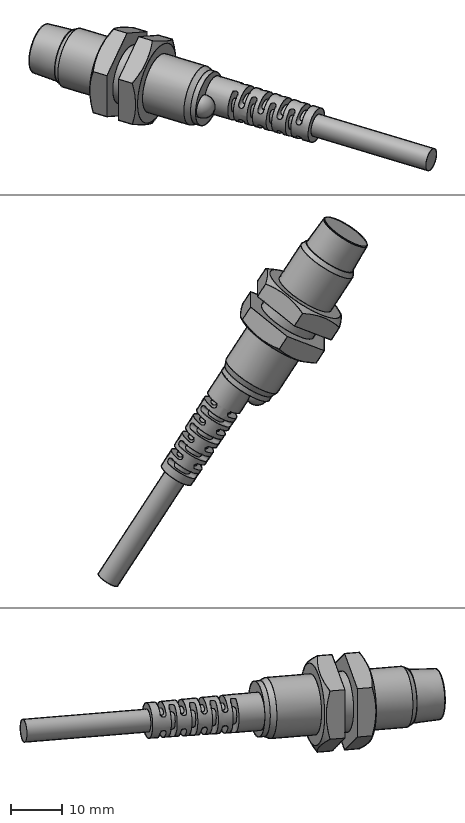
import cadquery as cq
import math

total_length = 85.3

nose_front_diameter = 10.1
nose_back_diameter = 10.7
nose_length = 6.0
nose_chamfer = 0.2

barrel_diameter = 12.0
neck_diameter = 11.0
front_chamfer_length = 1.0
rear_chamfer_start = 34.8
rear_chamfer_length = 1.2
barrel_end = 37.1

nut_across_flats = 17.0
nut_thickness = 4.0
nut_face_diameter = 16.2
nut_chamfer_angle = 30.0
front_nut_start = 15.1
rear_nut_end = 25.7

cable_diameter = 4.5
relief_diameter = 7.5
relief_tip_diameter = 7.0
relief_taper_start = 42.4
relief_end = 59.9
cable_offset = (neck_diameter - relief_diameter) / 2

slot_pairs = 8
slot_width = 1.2
slot_web_thickness = 2.7
first_slot_x = relief_taper_start + slot_width / 2
last_slot_x = 57.6
slot_pitch = (last_slot_x - first_slot_x) / (slot_pairs - 1)

dome_diameter = 4.6
dome_offset = -2.8
dome_base_height = 0.3


def revolve_profile(points):
    """Turn a closed (x, radius) outline around the X axis."""
    return cq.Workplane("XY").polyline(points).close().revolve(360, (0, 0, 0), (1, 0, 0))


def rod(diameter, start, end, y=0.0):
    """Round bar along X."""
    section = cq.Workplane("YZ", origin=(start, y, 0)).circle(diameter / 2)
    return section.extrude(end - start)


def make_body():
    nose_radius = nose_front_diameter / 2
    barrel_radius = barrel_diameter / 2
    neck_radius = neck_diameter / 2
    return revolve_profile([
        (0, 0),
        (0, nose_radius - nose_chamfer),
        (nose_chamfer, nose_radius),
        (nose_length, nose_back_diameter / 2),
        (nose_length, neck_radius),
        (nose_length + front_chamfer_length, barrel_radius),
        (rear_chamfer_start, barrel_radius),
        (rear_chamfer_start + rear_chamfer_length, neck_radius),
        (barrel_end, neck_radius),
        (barrel_end, 0),
    ])


def make_nut(face_x, direction):
    """Nut with its chamfered face at face_x, extending along X in the given direction."""
    corner_radius = nut_across_flats / math.sqrt(3)
    corner_angles = [math.radians(90 + 60 * i) for i in range(6)]
    corners = [(corner_radius * math.cos(a), corner_radius * math.sin(a)) for a in corner_angles]
    hexagon = cq.Workplane("YZ", origin=(face_x, 0, 0)).polyline(corners).close()
    prism = hexagon.extrude(direction * nut_thickness)

    face_radius = nut_face_diameter / 2
    cone_rise = nut_thickness / math.tan(math.radians(nut_chamfer_angle))
    back_x = face_x + direction * nut_thickness
    cone = revolve_profile([
        (face_x, 0),
        (face_x, face_radius),
        (back_x, face_radius + cone_rise),
        (back_x, 0),
    ])
    return prism.intersect(cone)


def make_slot_pair(x, tilt):
    """Two opposite cutters, open outwards along Y, or along Z for a 90 degree tilt."""
    reach = relief_diameter
    arc_center = slot_web_thickness / 2 + slot_width / 2
    pair = cq.Workplane("XY")
    for side in (1, -1):
        floor = (
            cq.Workplane("XY", origin=(x, side * arc_center, 0))
            .circle(slot_width / 2)
            .extrude(reach, both=True)
        )
        mouth = cq.Workplane("XY").box(slot_width, reach, 2 * reach)
        mouth = mouth.translate((x, side * (arc_center + reach / 2), 0))
        pair = pair.add(floor.union(mouth))
    pair = pair.combine()
    return pair.rotate((0, 0, 0), (1, 0, 0), tilt).translate((0, cable_offset, 0))


def make_strain_relief():
    relief = revolve_profile([
        (barrel_end, 0),
        (barrel_end, relief_diameter / 2),
        (relief_taper_start, relief_diameter / 2),
        (relief_end, relief_tip_diameter / 2),
        (relief_end, 0),
    ]).translate((0, cable_offset, 0))
    for i in range(slot_pairs):
        tilt = 90 * (i % 2)
        relief = relief.cut(make_slot_pair(first_slot_x + i * slot_pitch, tilt))
    return relief


def make_dome():
    dome_base_end = barrel_end + dome_base_height
    base = rod(dome_diameter, barrel_end, dome_base_end, dome_offset)
    ball = cq.Workplane("XY").sphere(dome_diameter / 2)
    return base.union(ball.translate((dome_base_end, dome_offset, 0)))


result = (
    make_body()
    .union(make_nut(front_nut_start, 1))
    .union(make_nut(rear_nut_end, -1))
    .union(make_strain_relief())
    .union(rod(cable_diameter, barrel_end, total_length, cable_offset))
    .union(make_dome())
)